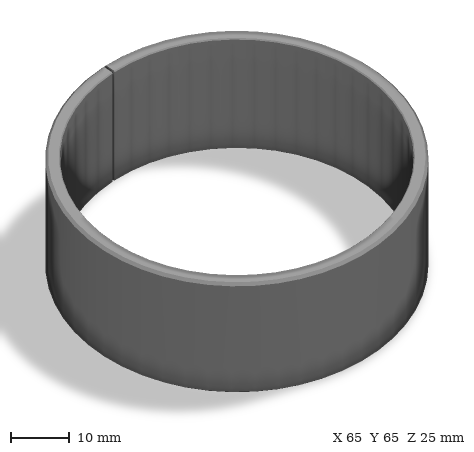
import cadquery as cq

outer_diameter = 65.0
inner_diameter = 60.0
length = 25.0
outer_chamfer = 0.5
inner_chamfer = 0.2
split_width = 0.5

outer_radius = outer_diameter / 2
inner_radius = inner_diameter / 2
half_length = length / 2


def make_wall_section():
    """Wall profile on the -X side of the axis, with chamfered rims at both ends."""
    outer_rim_radius = outer_radius - outer_chamfer
    outer_rim_z = half_length - outer_chamfer
    inner_rim_radius = inner_radius + inner_chamfer
    inner_rim_z = half_length - inner_chamfer
    return (
        cq.Workplane("XZ")
        .moveTo(-inner_rim_radius, -half_length)
        .lineTo(-outer_rim_radius, -half_length)
        .lineTo(-outer_radius, -outer_rim_z)
        .lineTo(-outer_radius, outer_rim_z)
        .lineTo(-outer_rim_radius, half_length)
        .lineTo(-inner_rim_radius, half_length)
        .lineTo(-inner_radius, inner_rim_z)
        .lineTo(-inner_radius, -inner_rim_z)
        .close()
    )


def make_sleeve():
    """Full ring, revolved about the Z axis."""
    return make_wall_section().revolve(360, (0, 0, 0), (0, 1, 0))


def make_split_cutter():
    """Slab through the -X wall, with one face on the XZ plane and the gap towards +Y."""
    slab = cq.Workplane("XY").box(outer_radius, split_width, length)
    return slab.translate((-outer_radius, split_width / 2, 0))


result = make_sleeve().cut(make_split_cutter())